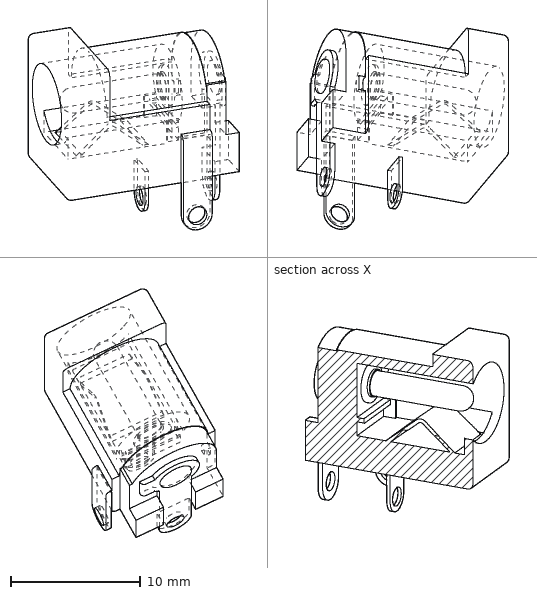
import cadquery as cq
import math


HOUSING_WIDTH = 9.0
HOUSING_HEIGHT = 10.7
HOUSING_LENGTH = 11.8
COLLAR_LENGTH = 3.5
EDGE_RADIUS = 0.5
AXIS_Z = 6.5
BARREL_RADIUS = 3.87

BORE_RADIUS = 3.2
BORE_DEPTH = 10.0
POCKET_START = 0.75
POCKET_HALF_WIDTH = 2.64
POCKET_FLOOR_Z = 2.84
RAIL_START = 9.0
RAIL_HALF_GAP = 2.4
RAIL_TOP_Z = AXIS_Z - math.sqrt(BORE_RADIUS**2 - POCKET_HALF_WIDTH**2)

INSERT_RADIUS = 3.8
INSERT_BACK = 13.4
FOOT_BACK = 14.5
FOOT_HEIGHT = 3.35
LEDGE_TOP_Z = 7.85
RECESS_DEPTH = 0.5
RECESS_LENGTH = 0.53
RECESS_BOTTOM_Z = 3.77
RECESS_TOP_Z = 4.98
RECESS_RADIUS = 0.2

LEG_BOTTOM_Z = -3.8
LEG_HOLE_DIAMETER = 1.5
NARROW_LEG_WIDTH = 2.4
NARROW_LEG_HOLE_Z = LEG_BOTTOM_Z + NARROW_LEG_WIDTH / 2
LEG_EMBED = 0.5

PIN_RADIUS = 1.0
PIN_TIP_CENTER_Y = 2.16
PIN_SHOULDER_RADIUS = 1.1
PIN_SHOULDER_LENGTH = 0.2
BOSS_RADIUS = 1.6
BOSS_LENGTH = 0.3
CONTACT_ROUND = 0.1
PLATE_RADIUS = 2.1
PLATE_THICKNESS = 0.4
BEND_RADIUS = 0.38
PLATE_LEG_WIDTH = 2.8
PLATE_LEG_HOLE_Z = -2.3
RIVET_RADIUS = 1.35
RIVET_LENGTH = 0.2
TAB_HALF_HEIGHT = 1.1
TAB_END_X = 2.92

SWITCH_OUTER_X = 5.0
SWITCH_THICKNESS = 0.45
STRIP_THICKNESS = 0.4
SWITCH_TOP_Z = 4.35

SPRING_THICKNESS = 0.3
SPRING_FRONT_Y = 1.56
SPRING_RISE_ANGLE = 39.5
SPRING_CREASE_Z = 4.98
SPRING_TOP_Z = 5.12
SPRING_FOOT_HALF_WIDTH = 2.29
SPRING_TOP_HALF_WIDTH = 2.14
SPRING_LEG_Y = 7.67


def block(x_min, x_max, y_min, y_max, z_min, z_max):
    """Axis-aligned box between the given limits."""
    size = (x_max - x_min, y_max - y_min, z_max - z_min)
    return cq.Workplane("XY").box(*size, centered=False).translate((x_min, y_min, z_min))


def axial_cylinder(radius, y_min, y_max):
    """Cylinder on the plug axis between two Y positions."""
    plane = cq.Workplane("XZ", origin=(0, y_min, AXIS_Z))
    return plane.circle(radius).extrude(y_min - y_max)


def leg_plate(width, top_z, thickness, hole_z):
    """Round-ended solder leg with its hole, centered on X = 0 and running from Y = 0 to +thickness."""
    radius = width / 2
    center_z = LEG_BOTTOM_Z + radius
    return (
        cq.Workplane("XZ")
        .moveTo(-radius, top_z)
        .lineTo(-radius, center_z)
        .threePointArc((0, LEG_BOTTOM_Z), (radius, center_z))
        .lineTo(radius, top_z)
        .close()
        .moveTo(0, hole_z)
        .circle(LEG_HOLE_DIAMETER / 2)
        .extrude(-thickness)
    )


def make_housing():
    half = HOUSING_WIDTH / 2
    body = block(-half, half, 0, HOUSING_LENGTH, 0, HOUSING_HEIGHT)
    body = body.edges("|Y or <Y").fillet(EDGE_RADIUS)
    upper = block(-half, half, COLLAR_LENGTH, HOUSING_LENGTH, AXIS_Z, HOUSING_HEIGHT)
    barrel = axial_cylinder(BARREL_RADIUS, COLLAR_LENGTH, HOUSING_LENGTH)
    return body.cut(upper).union(barrel)


def make_opening():
    bore = axial_cylinder(BORE_RADIUS, 0, BORE_DEPTH)
    pocket = block(
        -POCKET_HALF_WIDTH, POCKET_HALF_WIDTH, POCKET_START, RAIL_START, POCKET_FLOOR_Z, AXIS_Z
    )
    between_rails = block(
        -RAIL_HALF_GAP, RAIL_HALF_GAP, RAIL_START, BORE_DEPTH, POCKET_FLOOR_Z, AXIS_Z
    )
    above_rails = block(
        -POCKET_HALF_WIDTH, POCKET_HALF_WIDTH, RAIL_START, BORE_DEPTH, RAIL_TOP_Z, AXIS_Z
    )
    rails = block(
        -BORE_RADIUS, BORE_RADIUS, RAIL_START, BORE_DEPTH, AXIS_Z - BORE_RADIUS, RAIL_TOP_Z
    )
    return bore.union(pocket).cut(rails).union(between_rails).union(above_rails)


def make_insert():
    start = HOUSING_LENGTH
    insert = axial_cylinder(INSERT_RADIUS, start, INSERT_BACK)
    insert = insert.union(block(-INSERT_RADIUS, INSERT_RADIUS, start, INSERT_BACK, 0, AXIS_Z))
    ledge = block(0, INSERT_RADIUS, start, INSERT_BACK, AXIS_Z, LEDGE_TOP_Z)
    foot = block(-INSERT_RADIUS, INSERT_RADIUS, start, FOOT_BACK, 0, FOOT_HEIGHT)
    slot_half = PLATE_LEG_WIDTH / 2
    leg_slot = block(-slot_half, slot_half, INSERT_BACK, FOOT_BACK, 0, FOOT_HEIGHT)
    recess = block(
        -INSERT_RADIUS, RECESS_DEPTH - INSERT_RADIUS, start, start + RECESS_LENGTH,
        RECESS_BOTTOM_Z, RECESS_TOP_Z
    )
    recess = recess.edges("|Y and >X").fillet(RECESS_RADIUS)
    return insert.union(ledge).union(foot).cut(leg_slot).cut(recess)


def make_center_contact():
    pin = axial_cylinder(PIN_RADIUS, PIN_TIP_CENTER_Y, INSERT_BACK)
    tip = cq.Workplane("XY").sphere(PIN_RADIUS).translate((0, PIN_TIP_CENTER_Y, AXIS_Z))
    boss_front = BORE_DEPTH - BOSS_LENGTH
    boss = axial_cylinder(BOSS_RADIUS, boss_front, BORE_DEPTH).faces("<Y").edges().fillet(CONTACT_ROUND)
    shoulder = axial_cylinder(PIN_SHOULDER_RADIUS, boss_front - PIN_SHOULDER_LENGTH, boss_front)
    return pin.union(tip).union(boss).union(shoulder)


def make_rear_contact():
    plate_back = INSERT_BACK + PLATE_THICKNESS
    plate = axial_cylinder(PLATE_RADIUS, INSERT_BACK, plate_back)
    leg = leg_plate(PLATE_LEG_WIDTH, AXIS_Z, PLATE_THICKNESS, PLATE_LEG_HOLE_Z)
    leg = leg.translate((0, INSERT_BACK, 0))
    tab = block(
        0, TAB_END_X, INSERT_BACK, plate_back, AXIS_Z - TAB_HALF_HEIGHT, AXIS_Z + TAB_HALF_HEIGHT
    )
    tab = tab.edges("|Z and >X and >Y").fillet(BEND_RADIUS)
    rivet = axial_cylinder(RIVET_RADIUS, plate_back, plate_back + RIVET_LENGTH)
    rivet = rivet.faces(">Y").edges().fillet(CONTACT_ROUND)
    return plate.union(leg).union(tab).union(rivet)


def make_switch_terminal():
    y_max = HOUSING_LENGTH
    y_min = y_max - NARROW_LEG_WIDTH
    inner_x = SWITCH_OUTER_X - SWITCH_THICKNESS
    strip_bottom = SWITCH_TOP_Z - STRIP_THICKNESS
    strip = block(-RAIL_HALF_GAP, SWITCH_OUTER_X, y_min, y_max, strip_bottom, SWITCH_TOP_Z)
    strip = strip.edges("|Y and >X and >Z").fillet(BEND_RADIUS)
    leg = leg_plate(NARROW_LEG_WIDTH, strip_bottom, SWITCH_THICKNESS, NARROW_LEG_HOLE_Z)
    leg = leg.rotate((0, 0, 0), (0, 0, 1), -90).translate((inner_x, (y_min + y_max) / 2, 0))
    return strip.union(leg)


def make_spring():
    """Sheet bent into an arch from the pocket floor to a round crest and back, plus its solder leg."""
    angle = math.radians(SPRING_RISE_ANGLE)
    crest_radius = (SPRING_TOP_Z - SPRING_CREASE_Z) / (1 - math.cos(angle))
    crest_half = crest_radius * math.sin(angle)
    center_z = SPRING_TOP_Z - crest_radius
    crest_y = SPRING_FRONT_Y + (SPRING_CREASE_Z - POCKET_FLOOR_Z) / math.tan(angle) + crest_half
    back_y = 2 * crest_y - SPRING_FRONT_Y

    inner_radius = crest_radius - SPRING_THICKNESS
    inner_half = inner_radius * math.sin(angle)
    inner_crease_z = center_z + inner_radius * math.cos(angle)
    drop = SPRING_THICKNESS / math.cos(angle)
    root_z = POCKET_FLOOR_Z - drop
    sheet = (
        cq.Workplane("YZ")
        .moveTo(SPRING_FRONT_Y, POCKET_FLOOR_Z)
        .lineTo(crest_y - crest_half, SPRING_CREASE_Z)
        .threePointArc((crest_y, SPRING_TOP_Z), (crest_y + crest_half, SPRING_CREASE_Z))
        .lineTo(back_y, POCKET_FLOOR_Z)
        .lineTo(back_y, root_z)
        .lineTo(crest_y + inner_half, inner_crease_z)
        .threePointArc((crest_y, center_z + inner_radius), (crest_y - inner_half, inner_crease_z))
        .lineTo(SPRING_FRONT_Y, root_z)
        .close()
        .extrude(HOUSING_WIDTH / 2, both=True)
    )
    slope = (SPRING_FOOT_HALF_WIDTH - SPRING_TOP_HALF_WIDTH) / (SPRING_TOP_Z - POCKET_FLOOR_Z)
    root_half = SPRING_FOOT_HALF_WIDTH + slope * drop
    taper = (
        cq.Workplane("XZ")
        .polyline([
            (-root_half, root_z),
            (root_half, root_z),
            (SPRING_TOP_HALF_WIDTH, SPRING_TOP_Z),
            (-SPRING_TOP_HALF_WIDTH, SPRING_TOP_Z),
        ])
        .close()
        .extrude(-HOUSING_LENGTH)
    )
    leg = leg_plate(NARROW_LEG_WIDTH, LEG_EMBED, SPRING_THICKNESS, NARROW_LEG_HOLE_Z)
    leg = leg.translate((0, SPRING_LEG_Y, 0))
    return sheet.intersect(taper).union(leg)


result = (
    make_housing()
    .cut(make_opening())
    .union(make_insert())
    .union(make_center_contact())
    .union(make_rear_contact())
    .union(make_switch_terminal())
    .union(make_spring())
)